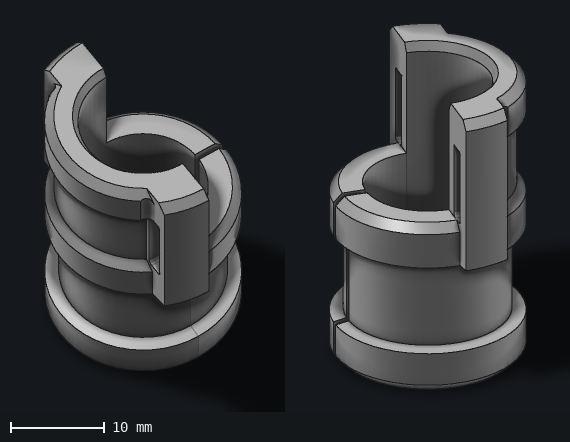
import cadquery as cq
import math

total_height = 33.0
collar_radius = 10.5
wing_radius = 12.5
chamfer = 1.0

bore_radius = 6.93
lead_in_radius = 7.52
lead_in_depth = 1.0

lower_waist_radius = 9.0
upper_waist_radius = collar_radius - chamfer

lower_collar_top = 5.0
middle_collar_bottom = 14.75
middle_collar_top = 20.0
upper_collar_bottom = 28.5
shoulder_slope = math.tan(math.radians(10))

wing_thickness = 5.0
window_inner_x = 8.55
window_outer_x = 10.55
window_outer_top_fillet = 0.28
window_outer_bottom_fillet = 0.23
window_inner_bottom_fillet = 0.5
relief_radius = 1.0

slit_width = 0.75


def shoulder_rise(radius):
    """Height change of a sloped shoulder between the lower waist and a radius."""
    return (radius - lower_waist_radius) * shoulder_slope


def turned(profile):
    """Solid of revolution about Z from (radius, height) points."""
    return cq.Workplane("XZ").polyline(profile).close().revolve(360, (0, 0, 0), (0, 1, 0))


def box_between(x_range, y_range, z_range):
    """Axis-aligned box from its limits along X, Y and Z."""
    size = [high - low for low, high in (x_range, y_range, z_range)]
    return cq.Workplane("XY").box(*size, centered=False).translate((x_range[0], y_range[0], z_range[0]))


def make_body():
    """Stepped sleeve: lower collar, waist, middle collar and upper waist."""
    return turned([
        (0, 0),
        (collar_radius - chamfer, 0),
        (collar_radius, chamfer),
        (collar_radius, lower_collar_top - shoulder_rise(collar_radius)),
        (lower_waist_radius, lower_collar_top),
        (lower_waist_radius, middle_collar_bottom),
        (collar_radius, middle_collar_bottom + shoulder_rise(collar_radius)),
        (collar_radius, middle_collar_top - chamfer),
        (upper_waist_radius, middle_collar_top),
        (upper_waist_radius, upper_collar_bottom),
        (0, upper_collar_bottom),
    ])


def make_wings():
    """Slice of a larger turned body that stands out on both sides."""
    blank = turned([
        (0, middle_collar_bottom),
        (lower_waist_radius, middle_collar_bottom),
        (wing_radius, middle_collar_bottom + shoulder_rise(wing_radius)),
        (wing_radius, total_height - chamfer),
        (wing_radius - chamfer, total_height),
        (0, total_height),
    ])
    slab = box_between((-wing_radius, wing_radius), (-wing_thickness, 0), (0, total_height))
    return blank.intersect(slab)


def make_upper_collar():
    """Half collar whose ends turn through concave reliefs into the wings, under a top chamfer cone."""
    edge_y = -wing_thickness - relief_radius
    relief_x = window_inner_x + relief_radius
    collar_edge_y = -math.sqrt(collar_radius**2 - window_inner_x**2)
    relief_mid = relief_radius * math.sqrt(0.5)
    mid_x = relief_x - relief_mid
    mid_y = edge_y + relief_mid
    height = total_height - upper_collar_bottom
    outline = (
        cq.Workplane("XY", origin=(0, 0, upper_collar_bottom))
        .moveTo(-relief_x, 0)
        .lineTo(-relief_x, -wing_thickness)
        .threePointArc((-mid_x, mid_y), (-window_inner_x, edge_y))
        .lineTo(-window_inner_x, collar_edge_y)
        .threePointArc((0, -collar_radius), (window_inner_x, collar_edge_y))
        .lineTo(window_inner_x, edge_y)
        .threePointArc((mid_x, mid_y), (relief_x, -wing_thickness))
        .lineTo(relief_x, 0)
        .close()
    )
    cone = turned([
        (0, upper_collar_bottom),
        (upper_waist_radius + height, upper_collar_bottom),
        (upper_waist_radius, total_height),
        (0, total_height),
    ])
    return outline.extrude(height).intersect(cone)


def make_windows():
    """Cutters through both wings along Y, rounded except at the corner under the upper collar."""
    window = box_between(
        (window_inner_x, window_outer_x),
        (-wing_thickness, 0),
        (middle_collar_top, upper_collar_bottom),
    )
    window = window.edges(">X and >Z").fillet(window_outer_top_fillet)
    window = window.edges(">X and <Z").fillet(window_outer_bottom_fillet)
    window = window.edges("<X and <Z").fillet(window_inner_bottom_fillet)
    return window.union(window.mirror("YZ"))


def make_bore():
    """Through bore with its tapered lead-in."""
    return turned([
        (0, 0),
        (bore_radius, 0),
        (bore_radius, total_height - lead_in_depth),
        (lead_in_radius, total_height),
        (0, total_height),
    ])


rear_opening = box_between((-wing_radius, wing_radius), (0, wing_radius), (middle_collar_top, total_height))
slit = box_between((-slit_width / 2, slit_width / 2), (0, wing_radius), (0, total_height))

result = (
    make_body()
    .union(make_upper_collar())
    .union(make_wings())
    .cut(make_windows())
    .cut(make_bore())
    .cut(rear_opening)
    .cut(slit)
)